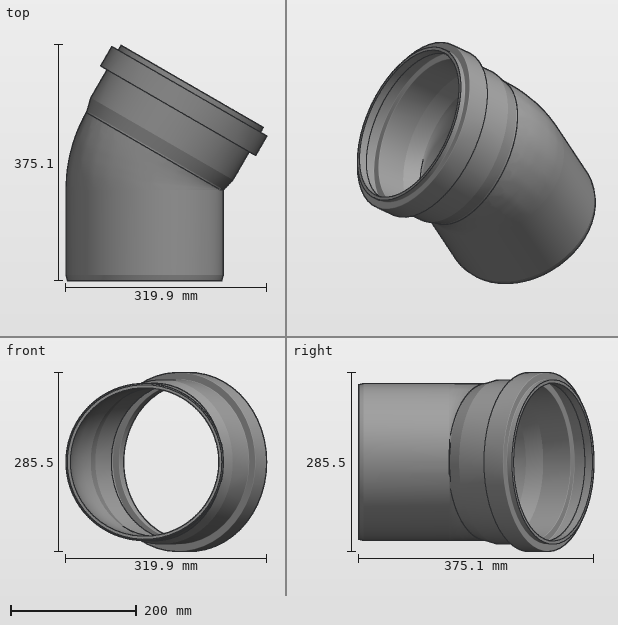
import cadquery as cq
import math

BEND_ANGLE = 30
BEND_RADIUS = 126.5
SPIGOT_LENGTH = 144.5
SPIGOT_RADIUS = 250.5 / 2
BORE_RADIUS = 236.2 / 2
CHAMFER_LENGTH = 8.5
CHAMFER_DEPTH = 2.2

COLLAR_RADIUS = 251.2 / 2
SOCKET_RADIUS = 261.7 / 2
SOCKET_BORE_RADIUS = 251.2 / 2
SEAL_RING_RADIUS = 285.5 / 2
SEAL_GROOVE_RADIUS = 274.5 / 2

COLLAR_START = -2.5
CONE_END = 21.0
BORE_CONE_END = 27.7
RING_START = 72.7
RING_END = 108.7
SOCKET_LENGTH = 117.7
EDGE_ROUND = 0.7
TOLERANCE = 0.05
RING_WALL = SEAL_RING_RADIUS - SEAL_GROOVE_RADIUS
GROOVE_START = RING_START + RING_WALL
GROOVE_END = RING_END - RING_WALL

turn = math.radians(BEND_ANGLE)
bend_end = (
    BEND_RADIUS * (1 - math.cos(turn)),
    SPIGOT_LENGTH + BEND_RADIUS * math.sin(turn),
    0,
)
socket_direction = (math.sin(turn), math.cos(turn), 0)


def turned(profile, origin, direction):
    """Solid of revolution from (radius, station) points along an axis."""
    plane = cq.Plane(origin=origin, xDir=(direction[1], -direction[0], 0), normal=direction)
    blank = cq.Workplane("XZ").polyline(profile).close().revolve(360, (0, 0), (0, 1))
    return cq.Workplane(obj=blank.val().moved(cq.Location(plane)))


def bend(radius):
    """Solid torus sector of the given pipe radius."""
    return (
        cq.Workplane("XZ", origin=(0, SPIGOT_LENGTH, 0))
        .circle(radius)
        .revolve(BEND_ANGLE, (BEND_RADIUS, 3.7), (BEND_RADIUS, 0))
    )


def round_rims(body, stations):
    """Round the circular edges of the socket at the given stations."""
    axis = cq.Vector(*socket_direction)
    rims = []
    for edge in body.edges("%CIRCLE").vals():
        edge_station = edge.Center().sub(cq.Vector(*bend_end)).dot(axis)
        if any(abs(edge_station - station) < TOLERANCE for station in stations):
            rims.append(edge)
    return body.newObject(rims).fillet(EDGE_ROUND)


def spigot_outside():
    """Straight pipe with a chamfered free end."""
    return turned(
        [
            (0, 0),
            (SPIGOT_RADIUS - CHAMFER_DEPTH, 0),
            (SPIGOT_RADIUS, CHAMFER_LENGTH),
            (SPIGOT_RADIUS, SPIGOT_LENGTH),
            (0, SPIGOT_LENGTH),
        ],
        (0, 0, 0),
        (0, 1, 0),
    )


def socket_outside():
    """Flared socket with a seal ring; its collar overlaps the end of the bend."""
    body = turned(
        [
            (0, COLLAR_START),
            (COLLAR_RADIUS, COLLAR_START),
            (COLLAR_RADIUS, 0),
            (SOCKET_RADIUS, CONE_END),
            (SOCKET_RADIUS, RING_START),
            (SEAL_RING_RADIUS, RING_START),
            (SEAL_RING_RADIUS, RING_END),
            (SOCKET_RADIUS, RING_END),
            (SOCKET_RADIUS, SOCKET_LENGTH),
            (0, SOCKET_LENGTH),
        ],
        bend_end,
        socket_direction,
    )
    return round_rims(body, (RING_START, RING_END))


def spigot_bore():
    """Plain bore of the spigot."""
    return turned(
        [(0, 0), (BORE_RADIUS, 0), (BORE_RADIUS, SPIGOT_LENGTH), (0, SPIGOT_LENGTH)],
        (0, 0, 0),
        (0, 1, 0),
    )


def socket_bore():
    """Widening bore of the socket with the seal groove."""
    body = turned(
        [
            (0, 0),
            (BORE_RADIUS, 0),
            (SOCKET_BORE_RADIUS, BORE_CONE_END),
            (SOCKET_BORE_RADIUS, GROOVE_START),
            (SEAL_GROOVE_RADIUS, GROOVE_START),
            (SEAL_GROOVE_RADIUS, GROOVE_END),
            (SOCKET_BORE_RADIUS, GROOVE_END),
            (SOCKET_BORE_RADIUS, SOCKET_LENGTH),
            (0, SOCKET_LENGTH),
        ],
        bend_end,
        socket_direction,
    )
    return round_rims(body, (GROOVE_START, GROOVE_END))


outside = spigot_outside().union(bend(SPIGOT_RADIUS)).union(socket_outside())
passage = spigot_bore().union(bend(BORE_RADIUS)).union(socket_bore())
result = outside.cut(passage)